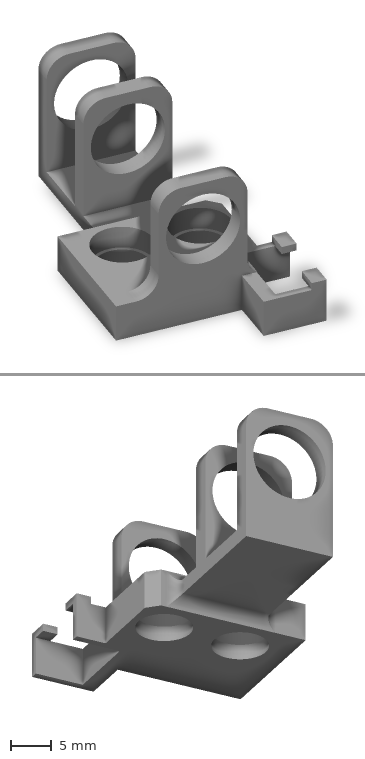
import cadquery as cq

block_start = 18.5
block_end = 36.0
block_width = 21.5
block_height = 5.0
block_chamfer = 1.5

arm_width = 12.0
arm_thickness = 2.0
flare_radius = 1.5
arm_center_y = 11.75
arm_bottom = flare_radius
arm_top = arm_bottom + arm_thickness
flare_start = block_start - flare_radius
arm_side_low = arm_center_y - arm_width / 2
arm_side_high = arm_center_y + arm_width / 2

ring_thickness = 2.5
ring_top = 20.0
ring_corner_radius = 3.0
bore_diameter = 10.0
bore_center_z = 13.25
arm_ring_starts = (0.0, 11.0)
block_ring_start = block_end - ring_thickness
front_foot_radius = 3.0
back_foot_radius = 2.0

hole_diameter = 7.15
counterbore_diameter = 8.15
counterbore_depth = 3.0
hole_pitch = 10.5
hole_center_x = block_start + 5.0

clip_start = 30.5
clip_end = 42.5
clip_back = 25.5
clip_wall = 1.0
clip_floor_thickness = 2.0
pocket_floor_y = 19.0
pocket_corner_radius = 0.4
hook_length = 3.0
hook_depth = 2.0
hook_height = 1.0


def box(x_range, y_range, z_range):
    """Axis-aligned box given by its limits along each axis."""
    size = [high - low for low, high in (x_range, y_range, z_range)]
    return cq.Workplane("XY").box(*size, centered=False).translate((x_range[0], y_range[0], z_range[0]))


def make_block():
    block = box((block_start, block_end), (0, block_width), (0, block_height))
    return block.edges("|Z and <X and >Y").chamfer(block_chamfer)


def make_arm():
    return box((0, block_start), (arm_side_low, arm_side_high), (arm_bottom, arm_top))


def flare_profile(plane, low, high):
    """Outline that widens from low..high by a concave quarter arc on each side, up to the block face."""
    bulge = flare_radius * (1 - 0.5 ** 0.5)
    middle_x = block_start - bulge
    return (
        cq.Workplane(plane)
        .moveTo(flare_start, low)
        .threePointArc((middle_x, low - bulge), (block_start, low - flare_radius))
        .lineTo(block_start, high + flare_radius)
        .threePointArc((middle_x, high + bulge), (flare_start, high))
        .close()
    )


def make_flare():
    """Mitred concave flare: the part common to the plan outline and the side outline."""
    plan = flare_profile("XY", arm_side_low, arm_side_high).extrude(block_height)
    side = flare_profile("XZ", arm_bottom, arm_top).extrude(-block_width)
    return plan.intersect(side)


def make_ring(x_start, z_bottom):
    """Upright plate with rounded top corners, before boring."""
    plate = box((x_start, x_start + ring_thickness), (arm_side_low, arm_side_high), (z_bottom, ring_top))
    return plate.edges("|X and >Z").fillet(ring_corner_radius)


def make_foot(side_y, direction, radius):
    """Concave fillet between one side of the block ring and the top of the block."""
    square = box(
        (block_ring_start, block_end),
        sorted((side_y, side_y + direction * radius)),
        (block_height, block_height + radius),
    )
    round_cut = (
        cq.Workplane("YZ", origin=(block_ring_start, side_y + direction * radius, block_height + radius))
        .circle(radius)
        .extrude(ring_thickness)
    )
    return square.cut(round_cut)


def make_bore():
    return (
        cq.Workplane("YZ", origin=(0, arm_center_y, bore_center_z))
        .circle(bore_diameter / 2)
        .extrude(block_end)
    )


def make_stepped_holes():
    centers = [(hole_center_x, arm_center_y + side * hole_pitch / 2) for side in (-1, 1)]
    through = cq.Workplane("XY").pushPoints(centers).circle(hole_diameter / 2).extrude(block_height)
    counterbore = (
        cq.Workplane("XY", origin=(0, 0, block_height - counterbore_depth))
        .pushPoints(centers)
        .circle(counterbore_diameter / 2)
        .extrude(counterbore_depth)
    )
    return through.union(counterbore)


def make_clip():
    """Clip body filling its whole outline, with the two hooks on top of its free end."""
    clip = box((clip_start, clip_end), (pocket_floor_y - clip_floor_thickness, clip_back), (0, block_height))
    for hook_start in (clip_start, clip_end - hook_length):
        hook = box(
            (hook_start, hook_start + hook_length),
            (clip_back - hook_depth, clip_back),
            (block_height, block_height + hook_height),
        )
        clip = clip.union(hook)
    return clip


def make_pocket():
    """Space between the clip walls, open at the back and rounded in the corner next to the block."""
    pocket = box(
        (clip_start + clip_wall, clip_end - clip_wall),
        (pocket_floor_y, clip_back),
        (0, block_height),
    )
    return pocket.edges("|Z and <X and <Y").fillet(pocket_corner_radius)


def make_foot_trim():
    """Space above the pocket, where the back foot of the block ring is cut flush with the pocket floor."""
    return box(
        (block_ring_start, block_end),
        (pocket_floor_y, pocket_floor_y + back_foot_radius),
        (block_height, block_height + back_foot_radius),
    )


result = make_block().union(make_arm()).union(make_flare())
for ring_start in arm_ring_starts:
    result = result.union(make_ring(ring_start, arm_bottom))
result = result.union(make_ring(block_ring_start, 0))
result = result.union(make_clip()).cut(make_pocket())
result = result.union(make_foot(arm_side_low, -1, front_foot_radius))
result = result.union(make_foot(arm_side_high, 1, back_foot_radius).cut(make_foot_trim()))
result = result.cut(make_bore()).cut(make_stepped_holes())